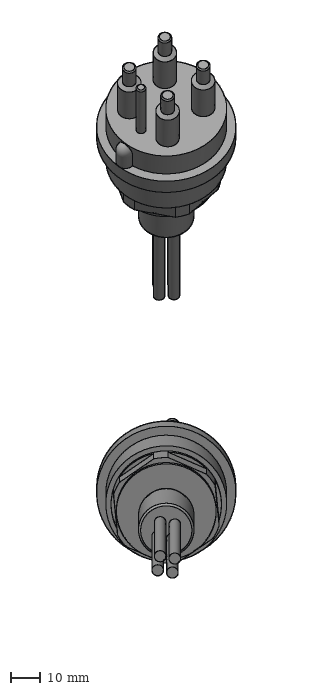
import cadquery as cq
import math

total_height = 123.9
sleeve_bottom = 40.1
neck_bottom = 59.1
collar_bottom = 62.2
hex_bottom = 63.8
flats_top = 70.1
body_bottom = 71.6
flange_bottom = 84.3
flange_top = 90.5
body_top = 100.4
key_nose_center = 96.6
pin_shoulder_top = 116.0

body_diameter = 41.3
flange_diameter = 47.6
hex_diameter = 37.7
hex_across_flats = 34.8
hex_sides = 6
collar_diameter = 34.1
neck_diameter = 16.7
sleeve_diameter = 19.0
sleeve_end_chamfer = 0.7

pin_offset = 8.9
pin_base_diameter = 8.0
pin_tip_diameter = 4.7
pin_shoulder_height = 0.9
pin_end_chamfer = 0.5
pilot_pin_diameter = 3.3
pilot_pin_y = -12.6

key_radius = 3.2
key_y = key_radius - flange_diameter / 2

wire_diameter = 4.0
wire_circle_radius = 3.6
wire_count = 4


def cylinder(diameter, bottom, top, x=0.0, y=0.0):
    """Upright cylinder between two heights."""
    return cq.Workplane("XY", origin=(x, y, bottom)).circle(diameter / 2).extrude(top - bottom)


def make_hex():
    """Round band whose lower part carries six wrench flats, one of them facing -X."""
    band = cylinder(hex_diameter, hex_bottom, body_bottom)
    corner_diameter = hex_across_flats / math.cos(math.pi / hex_sides)
    hexagon = (
        cq.Workplane("XY", origin=(0, 0, hex_bottom))
        .transformed(rotate=(0, 0, 180 / hex_sides))
        .polygon(hex_sides, corner_diameter)
        .extrude(flats_top - hex_bottom)
    )
    outside_flats = cylinder(flange_diameter, hex_bottom, flats_top).cut(hexagon)
    return band.cut(outside_flats)


def make_housing():
    """Stack of coaxial bodies from the sleeve up to the pin face."""
    sleeve = cylinder(sleeve_diameter, sleeve_bottom, neck_bottom)
    sleeve = sleeve.faces("<Z").edges().chamfer(sleeve_end_chamfer)
    sleeve = sleeve.faces(">Z").edges().chamfer((sleeve_diameter - neck_diameter) / 2)
    return (
        sleeve
        .union(cylinder(neck_diameter, neck_bottom, collar_bottom))
        .union(cylinder(collar_diameter, collar_bottom, hex_bottom))
        .union(make_hex())
        .union(cylinder(body_diameter, body_bottom, body_top))
        .union(cylinder(flange_diameter, flange_bottom, flange_top))
    )


def make_contact_pin(x, y):
    """Stepped pin with a conical shoulder and a chamfered tip."""
    base = cylinder(pin_base_diameter, body_top, pin_shoulder_top, x, y)
    shoulder_width = (pin_base_diameter - pin_tip_diameter) / 2
    base = base.faces(">Z").edges().chamfer(pin_shoulder_height, shoulder_width)
    tip = cylinder(pin_tip_diameter, body_top, total_height, x, y)
    return base.union(tip.faces(">Z").edges().chamfer(pin_end_chamfer))


def make_pilot_pin():
    """Slim straight pin near the key."""
    pin = cylinder(pilot_pin_diameter, body_top, total_height, 0, pilot_pin_y)
    return pin.faces(">Z").edges().chamfer(pin_end_chamfer)


def make_key():
    """Half-embedded post on the flange with a spherical nose."""
    nose = cq.Workplane("XY", origin=(0, key_y, key_nose_center)).sphere(key_radius)
    return cylinder(2 * key_radius, flange_bottom, key_nose_center, 0, key_y).union(nose)


result = make_housing().union(make_key()).union(make_pilot_pin())

for x in (-pin_offset, pin_offset):
    for y in (-pin_offset, pin_offset):
        result = result.union(make_contact_pin(x, y))

for index in range(wire_count):
    angle = 2 * math.pi * index / wire_count
    wire_x = wire_circle_radius * math.cos(angle)
    wire_y = wire_circle_radius * math.sin(angle)
    result = result.union(cylinder(wire_diameter, 0, sleeve_bottom, wire_x, wire_y))